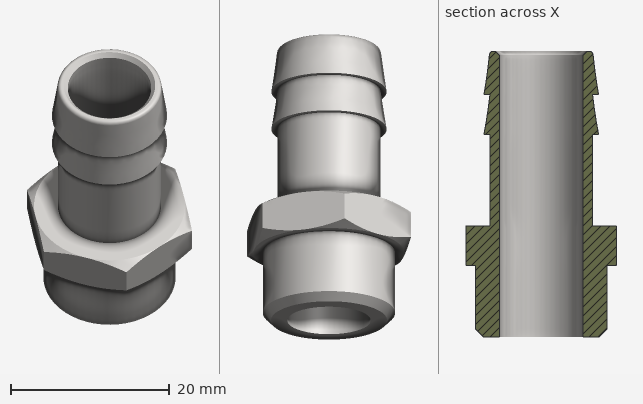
import cadquery as cq
import math

total_height = 36.0
bore_diameter = 10.5
bore_chamfer = 0.5

thread_diameter = 16.65
thread_length = 9.0
thread_chamfer = 1.0

across_flats = 19.0
hex_height = 5.0
hex_chamfer_angle = 30.0

tail_diameter = 13.0
barb_diameter = 14.5
lower_barb_base = 25.5
upper_barb_base = 30.5
tip_fillet = 0.5

hex_top = thread_length + hex_height
across_corners = across_flats / math.cos(math.radians(30))


def cylinder(diameter, bottom, top):
    """Cylinder on the Z axis between two heights."""
    return cq.Workplane("XY").workplane(offset=bottom).circle(diameter / 2).extrude(top - bottom)


def cone(bottom_diameter, top_diameter, bottom, top):
    """Truncated cone on the Z axis between two heights."""
    return (
        cq.Workplane("XY")
        .workplane(offset=bottom)
        .circle(bottom_diameter / 2)
        .workplane(offset=top - bottom)
        .circle(top_diameter / 2)
        .loft(ruled=True)
    )


def barb(bottom, top):
    """Cone that narrows upwards from the barb edge to the tail diameter."""
    return cone(barb_diameter, tail_diameter, bottom, top)


def hex_collar():
    """Hexagon with corners on X, its corners cut conically at both ends."""
    flat_radius = across_flats / 2
    corner_radius = across_corners / 2
    corner_drop = (corner_radius - flat_radius) * math.tan(math.radians(hex_chamfer_angle))
    prism = (
        cq.Workplane("XY")
        .workplane(offset=thread_length)
        .polygon(6, across_corners)
        .extrude(hex_height)
    )
    envelope = (
        cq.Workplane("XZ")
        .moveTo(0, thread_length)
        .lineTo(flat_radius, thread_length)
        .lineTo(corner_radius, thread_length + corner_drop)
        .lineTo(corner_radius, hex_top - corner_drop)
        .lineTo(flat_radius, hex_top)
        .lineTo(0, hex_top)
        .close()
        .revolve(360, (0, 0, 0), (0, 1, 0))
    )
    return prism.intersect(envelope)


thread = cylinder(thread_diameter, 0, thread_length).faces("<Z").chamfer(thread_chamfer)
tail = cylinder(tail_diameter, hex_top, lower_barb_base)
lower_barb = barb(lower_barb_base, upper_barb_base)
upper_barb = barb(upper_barb_base, total_height).faces(">Z").edges().fillet(tip_fillet)

bore = cylinder(bore_diameter, 0, total_height)
mouth_diameter = bore_diameter + 2 * bore_chamfer
bore_mouth = cone(bore_diameter, mouth_diameter, total_height - bore_chamfer, total_height)

body = thread.union(hex_collar()).union(tail).union(lower_barb).union(upper_barb)
result = body.cut(bore).cut(bore_mouth)